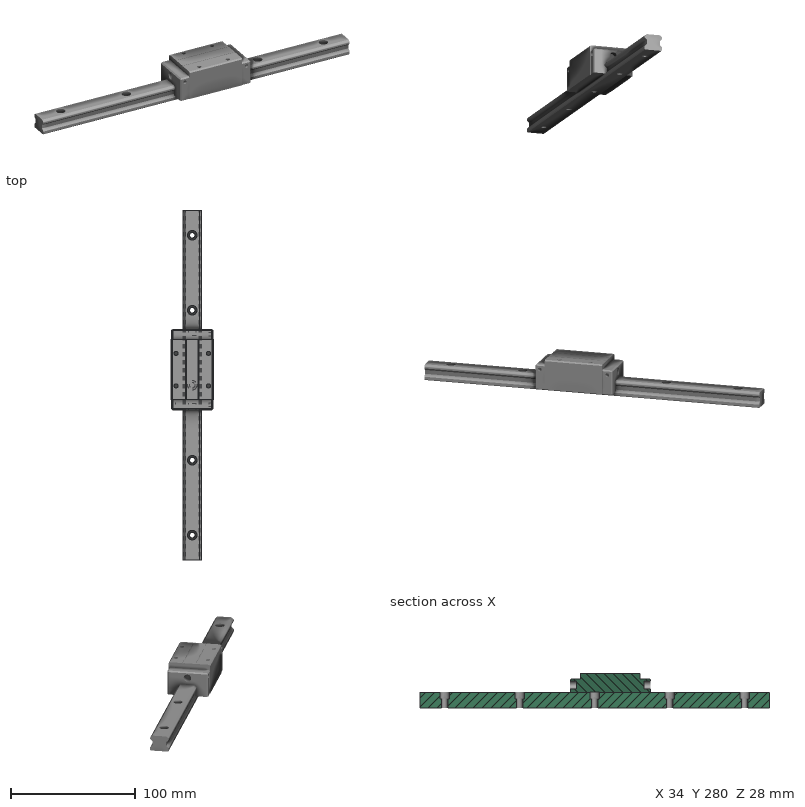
import cadquery as cq

rail_length = 280.0
rail_width = 15.0
rail_height = 12.8
rail_top_half_width = 5.7
rail_neck_half_width = 5.5
head_edge_top_z = 11.2
head_edge_bottom_z = 9.8
head_round = 0.8
neck_top_z = 8.0
neck_bottom_z = 4.8
foot_top_z = 2.8
foot_chamfer = 0.6

mount_pitch = 60.0
mount_count = 5
mount_hole_diameter = 4.5
mount_bore_diameter = 7.5
mount_bore_depth = 5.3

carriage_center_y = 12.5
carriage_width = 34.0
carriage_length = 64.4
carriage_top_z = 28.0
carriage_bottom_z = 3.5
block_length = 48.0
block_chamfer = 1.0

cap_width = 33.2
cap_top_z = 23.6
cap_chamfer = 1.0

groove_offset_x = 5.2
groove_width = 0.8
groove_depth = 0.2

tap_pitch = 26.0
tap_diameter = 3.3
tap_depth = 5.0

port_diameter = 6.0
port_depth = 5.0
port_z = 18.5

side_hole_diameter = 3.0
side_hole_depth = 3.0
side_hole_from_end = 4.0
side_hole_from_top = 4.0


def make_rail_bar():
    """Plain rail bar: waisted section run along Y, with rounded shoulders on its head."""
    half_width = rail_width / 2
    right_side = [
        (half_width - foot_chamfer, 0),
        (half_width, foot_chamfer),
        (half_width, foot_top_z),
        (rail_neck_half_width, neck_bottom_z),
        (rail_neck_half_width, neck_top_z),
        (half_width, head_edge_bottom_z),
        (half_width, head_edge_top_z),
        (rail_top_half_width, rail_height),
    ]
    left_side = [(-x, z) for x, z in reversed(right_side)]
    section = cq.Workplane("XZ").polyline(right_side + left_side).close()
    bar = section.extrude(rail_length / 2, both=True)
    shoulder_edges = cq.selectors.BoxSelector(
        (-rail_width, -rail_length, (head_edge_bottom_z + head_edge_top_z) / 2),
        (rail_width, rail_length, (head_edge_top_z + rail_height) / 2),
    )
    return bar.edges("|Y").edges(shoulder_edges).fillet(head_round)


def make_rail():
    """Rail bar with a row of counterbored mounting holes."""
    return (
        make_rail_bar()
        .faces(">Z")
        .workplane(origin=(0, 0, rail_height))
        .rarray(1, mount_pitch, 1, mount_count)
        .cboreHole(mount_hole_diameter, mount_bore_diameter, mount_bore_depth)
    )


def make_block():
    """Steel middle of the carriage, with a bevelled top edge along each side."""
    block_height = carriage_top_z - carriage_bottom_z
    return (
        cq.Workplane("XY", origin=(0, carriage_center_y, carriage_bottom_z))
        .box(carriage_width, block_length, block_height, centered=(True, True, False))
        .edges(">Z and |Y")
        .chamfer(block_chamfer)
    )


def make_caps():
    """Both end caps as one bar that passes through the block, bevelled except underneath."""
    cap_height = cap_top_z - carriage_bottom_z
    return (
        cq.Workplane("XY", origin=(0, carriage_center_y, carriage_bottom_z))
        .box(cap_width, carriage_length, cap_height, centered=(True, True, False))
        .edges("|Z or >Z")
        .chamfer(cap_chamfer)
    )


def make_grooves():
    """Two shallow slots along the top of the block."""
    return (
        cq.Workplane("XY", origin=(0, carriage_center_y, carriage_top_z - groove_depth))
        .rarray(2 * groove_offset_x, 1, 2, 1)
        .rect(groove_width, block_length)
        .extrude(groove_depth)
    )


def make_tapped_holes():
    """Four blind threaded holes in the top of the block."""
    return (
        cq.Workplane("XY", origin=(0, carriage_center_y, carriage_top_z))
        .rarray(tap_pitch, tap_pitch, 2, 2)
        .circle(tap_diameter / 2)
        .extrude(-tap_depth)
    )


def make_cap_holes(end):
    """Lubrication port in the end face and a small hole in each side of one cap (end is -1 or +1)."""
    end_y = carriage_center_y + end * carriage_length / 2
    holes = (
        cq.Workplane("XZ", origin=(0, end_y, port_z))
        .circle(port_diameter / 2)
        .extrude(end * port_depth)
    )
    side_hole_y = end_y - end * side_hole_from_end
    side_hole_z = cap_top_z - side_hole_from_top
    for side in (-1, 1):
        side_hole = (
            cq.Workplane("YZ", origin=(side * cap_width / 2, side_hole_y, side_hole_z))
            .circle(side_hole_diameter / 2)
            .extrude(-side * side_hole_depth)
        )
        holes = holes.union(side_hole)
    return holes


def make_carriage():
    """Carriage fitted closely around the rail."""
    carriage = make_block().union(make_caps())
    carriage = carriage.cut(make_grooves()).cut(make_tapped_holes())
    for end in (-1, 1):
        carriage = carriage.cut(make_cap_holes(end))
    return carriage.cut(make_rail_bar())


rail = make_rail()
carriage = make_carriage()

result = cq.Compound.makeCompound([rail.solids().val(), carriage.solids().val()])